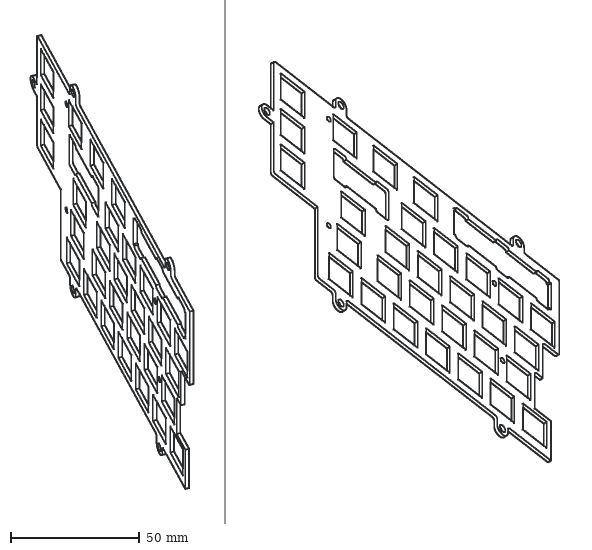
import cadquery as cq

UNIT = 19.05
THICKNESS = 1.6
KEY_OPENING = 14.0
KEY_ROWS = 5
ROW_Z = [-row * UNIT for row in range(KEY_ROWS)]
MIDDLE_Z = ROW_Z[KEY_ROWS // 2]

KEY_COLUMNS = [
    [0, 1.625, 2.875, 4.125],
    [0, 3.75, 4.75, 5.75, 6.75, 7.75],
    [0, 1.875, 3.25, 4.25, 5.25, 6.25, 7.25],
    [1.75, 3, 4, 5, 6, 7],
    [1.5, 2.5, 3.5, 4.5, 5.5, 6.5, 7.5],
]

LEFT_X = -11.1
LOWER_LEFT_X = 14.9
LEFT_BLOCK_BOTTOM_Z = -49.3
HALF_HEIGHT = 49.0
HALF_HEIGHT_RIGHT = 50.1
TOP_Z = MIDDLE_Z + HALF_HEIGHT
BOTTOM_Z = MIDDLE_Z - HALF_HEIGHT
RIGHT_TOP_Z = MIDDLE_Z + HALF_HEIGHT_RIGHT
RIGHT_BOTTOM_Z = MIDDLE_Z - HALF_HEIGHT_RIGHT
STEP_OFFSET = 0.3
STEP_1_Z = ROW_Z[1] - UNIT / 2 + STEP_OFFSET
STEP_2_Z = ROW_Z[2] - UNIT / 2 + STEP_OFFSET
STEP_3_Z = ROW_Z[3] - UNIT / 2 - STEP_OFFSET
RIGHT_X = [(columns[-1] + 0.5) * UNIT for columns in KEY_COLUMNS]
UPPER_RIGHT_MARGIN = 0.15
UPPER_RIGHT_X = RIGHT_X[1] + UPPER_RIGHT_MARGIN

CORNER_RADIUS = 1.0

TAB_RADIUS = 3.25
TAB_HOLE_DIAMETER = 3.2
TAB_HALF_SPAN = 53.05
TAB_TOP_Z = MIDDLE_Z + TAB_HALF_SPAN
TAB_BOTTOM_Z = MIDDLE_Z - TAB_HALF_SPAN
LEFT_TAB_X = -15.0
PAIRED_TABS_X = 1.5 * UNIT
TOP_RIGHT_TAB_X = 7 * UNIT
BOTTOM_RIGHT_TAB_X = 6.5 * UNIT

SMALL_HOLES = [(1.125, 0), (6.25, 1), (1.125, 3), (6.5, 3)]
SMALL_HOLE_RAISE = 2.5
SMALL_HOLE_DIAMETER = 2.3

PAD_HEIGHT = 16.4
PAD_CORNER_RADIUS = 0.9
SHIFT_X = 2.125 * UNIT
SHIFT_PAD_OUTER = 16.1
SHIFT_PAD_INNER = 8.8
SPACE_X = 6.5 * UNIT
SPACE_WIDTH = 3 * UNIT
SPACE_PAD_PITCH = 1.25 * UNIT
SPACE_PAD_WIDTH = 7.4


def block(x, z, width, height):
    """Plate-thick box centred at (x, z)."""
    return cq.Workplane("XY").box(width, THICKNESS, height).translate((x, 0, z))


def disc(x, z, diameter):
    """Plate-thick cylinder along Y, centred at (x, z)."""
    cylinder = cq.Workplane("XZ").circle(diameter / 2).extrude(THICKNESS / 2, both=True)
    return cylinder.translate((x, 0, z))


def round_corners(body, corners):
    """Round the Y-direction edges found at the given (x, z) corners."""
    for x, z in corners:
        edge = body.edges("|Y").edges(cq.selectors.NearestToPointSelector((x, 0, z)))
        body = edge.fillet(CORNER_RADIUS)
    return body


def make_outline():
    """Plate outline; the top and bottom edges step outward behind the right-hand tabs."""
    points = [
        (LEFT_X, TOP_Z),
        (TOP_RIGHT_TAB_X, TOP_Z),
        (TOP_RIGHT_TAB_X, RIGHT_TOP_Z),
        (UPPER_RIGHT_X, RIGHT_TOP_Z),
        (UPPER_RIGHT_X, STEP_1_Z),
        (RIGHT_X[2], STEP_1_Z),
        (RIGHT_X[2], STEP_2_Z),
        (RIGHT_X[3], STEP_2_Z),
        (RIGHT_X[3], STEP_3_Z),
        (RIGHT_X[4], STEP_3_Z),
        (RIGHT_X[4], RIGHT_BOTTOM_Z),
        (BOTTOM_RIGHT_TAB_X, RIGHT_BOTTOM_Z),
        (BOTTOM_RIGHT_TAB_X, BOTTOM_Z),
        (LOWER_LEFT_X, BOTTOM_Z),
        (LOWER_LEFT_X, LEFT_BLOCK_BOTTOM_Z),
        (LEFT_X, LEFT_BLOCK_BOTTOM_Z),
    ]
    return cq.Workplane("XZ").polyline(points).close().extrude(THICKNESS / 2, both=True)


def add_vertical_tab(body, x, z, root_z):
    """Add a round-ended tab at (x, z) whose neck runs along Z to the plate at root_z."""
    neck = block(x, (z + root_z) / 2, 2 * TAB_RADIUS, abs(z - root_z))
    return body.union(disc(x, z, 2 * TAB_RADIUS)).union(neck)


def add_side_tab(body, x, z, root_x):
    """Add a round-ended tab at (x, z) whose neck runs along X to the plate at root_x."""
    neck = block((x + root_x) / 2, z, abs(x - root_x), 2 * TAB_RADIUS)
    return body.union(disc(x, z, 2 * TAB_RADIUS)).union(neck)


def stabilised_opening(x, z, core_width, pad_centres, pad_width):
    """Long opening with taller, round-cornered pads along it."""
    opening = block(x, z, core_width, KEY_OPENING)
    for offset in pad_centres:
        pad = block(x + offset, z, pad_width, PAD_HEIGHT)
        opening = opening.union(pad.edges("|Y").fillet(PAD_CORNER_RADIUS))
    return opening


plate = make_outline()

vertical_tabs = [
    (PAIRED_TABS_X, TAB_TOP_Z, TOP_Z, TOP_Z),
    (TOP_RIGHT_TAB_X, TAB_TOP_Z, TOP_Z, RIGHT_TOP_Z),
    (PAIRED_TABS_X, TAB_BOTTOM_Z, BOTTOM_Z, BOTTOM_Z),
    (BOTTOM_RIGHT_TAB_X, TAB_BOTTOM_Z, BOTTOM_Z, RIGHT_BOTTOM_Z),
]
tab_roots = []
for tab_x, tab_z, left_edge_z, right_edge_z in vertical_tabs:
    plate = add_vertical_tab(plate, tab_x, tab_z, left_edge_z)
    tab_roots.append((tab_x - TAB_RADIUS, left_edge_z))
    tab_roots.append((tab_x + TAB_RADIUS, right_edge_z))
plate = add_side_tab(plate, LEFT_TAB_X, ROW_Z[1], LEFT_X)

outer_corners = [
    (LEFT_X, TOP_Z),
    (LEFT_X, LEFT_BLOCK_BOTTOM_Z),
    (LOWER_LEFT_X, BOTTOM_Z),
    (UPPER_RIGHT_X, STEP_1_Z),
    (RIGHT_X[2], STEP_1_Z),
    (RIGHT_X[3], STEP_2_Z),
]
plate = round_corners(plate, outer_corners + tab_roots)

for tab_x, tab_z, _, _ in vertical_tabs:
    plate = plate.cut(disc(tab_x, tab_z, TAB_HOLE_DIAMETER))
plate = plate.cut(disc(LEFT_TAB_X, ROW_Z[1], TAB_HOLE_DIAMETER))

for columns, row_z in zip(KEY_COLUMNS, ROW_Z):
    for column in columns:
        plate = plate.cut(block(column * UNIT, row_z, KEY_OPENING, KEY_OPENING))

shift_pad_centre = (SHIFT_PAD_OUTER + SHIFT_PAD_INNER) / 2
plate = plate.cut(stabilised_opening(
    SHIFT_X, ROW_Z[1], 2 * SHIFT_PAD_INNER,
    [-shift_pad_centre, shift_pad_centre], SHIFT_PAD_OUTER - SHIFT_PAD_INNER,
))

plate = plate.cut(stabilised_opening(
    SPACE_X, ROW_Z[0], SPACE_WIDTH,
    [-SPACE_PAD_PITCH, 0, SPACE_PAD_PITCH], SPACE_PAD_WIDTH,
))

for column, row in SMALL_HOLES:
    hole_z = ROW_Z[row] + SMALL_HOLE_RAISE
    plate = plate.cut(disc(column * UNIT, hole_z, SMALL_HOLE_DIAMETER))

result = plate